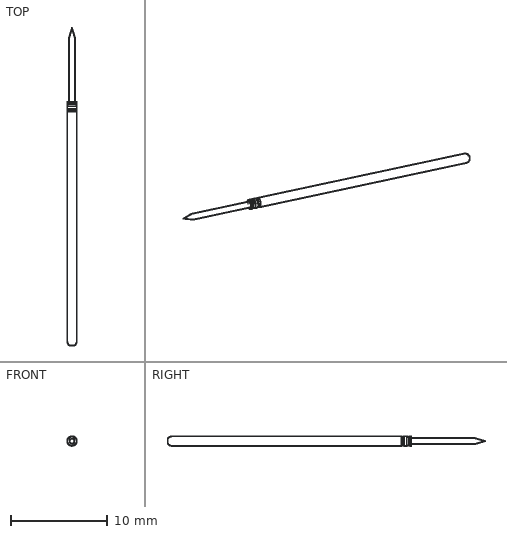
import cadquery as cq
import math

total_length = 33.1
body_radius = 0.51
mouth_distance = 7.7
y_tip = total_length / 2
y_end = -total_length / 2
y_mouth = y_tip - mouth_distance

plunger_radius = 0.325
cone_length = 1.1

rim_width = 0.15
groove_front_length = 0.14
groove_back_length = 0.18
groove_depth = 0.075
groove_pitch = 0.6
groove_count = 2

dome_length = 0.45
flat_radius = 0.25


def revolve_about_pin_axis(outline):
    """Turn a closed half outline, drawn as (radius, y), into a solid about the Y axis."""
    return outline.close().revolve(360, (0, 0, 0), (0, 1, 0))


def make_barrel():
    y_dome = y_end + dome_length
    radius_drop = body_radius - flat_radius
    dome_radius = (dome_length**2 + radius_drop**2) / (2 * radius_drop)
    half_angle = math.asin(dome_length / dome_radius) / 2
    dome_middle = (
        body_radius - dome_radius * (1 - math.cos(half_angle)),
        y_dome - dome_radius * math.sin(half_angle),
    )
    outline = (
        cq.Workplane("XY")
        .moveTo(0, y_end)
        .lineTo(flat_radius, y_end)
        .threePointArc(dome_middle, (body_radius, y_dome))
        .lineTo(body_radius, y_mouth)
        .lineTo(0, y_mouth)
    )
    return revolve_about_pin_axis(outline)


def make_plunger():
    y_cone = y_tip - cone_length
    outline = (
        cq.Workplane("XY")
        .moveTo(0, y_mouth)
        .lineTo(plunger_radius, y_mouth)
        .lineTo(plunger_radius, y_cone)
        .lineTo(0, y_tip)
    )
    return revolve_about_pin_axis(outline)


def make_crimp_groove(y_front):
    """Ring cutter whose triangular section leaves a V groove around the barrel."""
    outline = (
        cq.Workplane("XY")
        .moveTo(body_radius, y_front)
        .lineTo(body_radius - groove_depth, y_front - groove_front_length)
        .lineTo(body_radius, y_front - groove_front_length - groove_back_length)
    )
    return revolve_about_pin_axis(outline)


result = make_barrel().union(make_plunger())
for index in range(groove_count):
    y_groove = y_mouth - rim_width - index * groove_pitch
    result = result.cut(make_crimp_groove(y_groove))